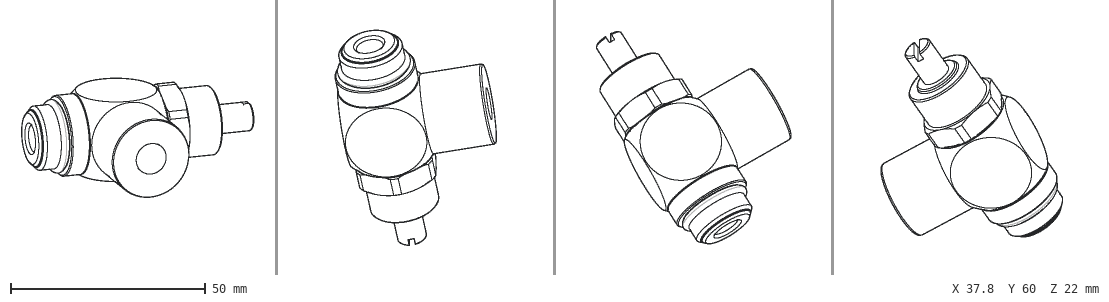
import cadquery as cq
import math

BODY_SIZE = 21.5
BODY_FACE_RADIUS = 10.5

OUTLET_RADIUS = 10.5
OUTLET_END_X = 27.0
OUTLET_EDGE_AXIAL = 0.5
OUTLET_EDGE_RADIAL = 0.2
OUTLET_BORE_RADIUS = 4.1

COLLAR_RADIUS = 10.5
COLLAR_LENGTH = 5.0
COLLAR_CHAMFER = 0.3
RING_NECK_RADIUS = 8.8
RING_NECK_LENGTH = 0.3
RING_MAJOR_RADIUS = 8.5
RING_SECTION_RADIUS = 1.05
RING_GAP = 0.1
SPIGOT_RADIUS = 8.35
SPIGOT_END_Y = -23.5
SPIGOT_CHAMFER = 0.8
SPIGOT_LIP_RADIUS = 7.3
SPIGOT_LIP_LENGTH = 0.95
SPIGOT_LIP_CHAMFER = 0.65
INLET_BORE_RADIUS = 3.5
INLET_CHAMFER_RADIAL = 0.6
INLET_CHAMFER_DEPTH = 0.8

HEX_ACROSS_FLATS = 20.0
HEX_CORNER_RADIUS = 11.0
HEX_START_Y = 10.95
HEX_END_Y = 16.7
HEX_FOOT_RADIUS = 10.5
HEX_TOP_RADIUS = 10.0
HEX_CHAMFER_ANGLE = 30.0

BONNET_RADIUS = 9.0
BONNET_END_Y = 26.05
BONNET_CHAMFER = 0.4
SHOULDER_BASE_RADIUS = 6.25
SHOULDER_TOP_RADIUS = 5.6
SHOULDER_END_Y = 26.95
SHOULDER_CHAMFER = 0.4
STEM_RADIUS = 3.78
STEM_END_Y = 36.5
STEM_CHAMFER = 0.4
SLOT_WIDTH = 1.6
SLOT_DEPTH = 2.0

BODY_HALF = BODY_SIZE / 2
COLLAR_END_Y = -BODY_HALF - COLLAR_LENGTH


def turned_about_y(points):
    """Solid of revolution about Y from (radius, y) points."""
    return cq.Workplane("XY").polyline(points).close().revolve(360, (0, 0, 0), (0, 1, 0))


def turned_about_x(points):
    """Solid of revolution about X from (x, radius) points."""
    return cq.Workplane("XY").polyline(points).close().revolve(360, (0, 0, 0), (1, 0, 0))


def make_body():
    corner_sphere_radius = math.hypot(BODY_HALF, BODY_FACE_RADIUS)
    cube = cq.Workplane("XY").box(BODY_SIZE, BODY_SIZE, BODY_SIZE)
    return cube.intersect(cq.Workplane("XY").sphere(corner_sphere_radius))


def make_outlet():
    return turned_about_x([
        (0, 0),
        (0, OUTLET_RADIUS),
        (OUTLET_END_X - OUTLET_EDGE_AXIAL, OUTLET_RADIUS),
        (OUTLET_END_X, OUTLET_RADIUS - OUTLET_EDGE_RADIAL),
        (OUTLET_END_X, 0),
    ])


def make_inlet():
    neck_end_y = COLLAR_END_Y - RING_NECK_LENGTH
    lip_start_y = SPIGOT_END_Y + SPIGOT_LIP_LENGTH
    return turned_about_y([
        (0, 0),
        (COLLAR_RADIUS - COLLAR_CHAMFER, 0),
        (COLLAR_RADIUS - COLLAR_CHAMFER, -BODY_HALF),
        (COLLAR_RADIUS, -BODY_HALF - COLLAR_CHAMFER),
        (COLLAR_RADIUS, COLLAR_END_Y + COLLAR_CHAMFER),
        (COLLAR_RADIUS - COLLAR_CHAMFER, COLLAR_END_Y),
        (RING_NECK_RADIUS, COLLAR_END_Y),
        (RING_NECK_RADIUS, neck_end_y),
        (SPIGOT_RADIUS, neck_end_y),
        (SPIGOT_RADIUS, lip_start_y + SPIGOT_CHAMFER),
        (SPIGOT_RADIUS - SPIGOT_CHAMFER, lip_start_y),
        (SPIGOT_LIP_RADIUS, lip_start_y),
        (SPIGOT_LIP_RADIUS, SPIGOT_END_Y + SPIGOT_LIP_CHAMFER),
        (SPIGOT_LIP_RADIUS - SPIGOT_LIP_CHAMFER, SPIGOT_END_Y),
        (0, SPIGOT_END_Y),
    ])


def make_o_ring():
    ring_y = COLLAR_END_Y - RING_SECTION_RADIUS - RING_GAP
    section = cq.Workplane("XY").center(RING_MAJOR_RADIUS, ring_y).circle(RING_SECTION_RADIUS)
    return section.revolve(360, (-RING_MAJOR_RADIUS, 0, 0), (-RING_MAJOR_RADIUS, 1, 0))


def make_hexagon():
    slope = math.tan(math.radians(HEX_CHAMFER_ANGLE))
    foot_chamfer = (HEX_CORNER_RADIUS - HEX_FOOT_RADIUS) * slope
    top_chamfer = (HEX_CORNER_RADIUS - HEX_TOP_RADIUS) * slope
    envelope = turned_about_y([
        (0, 0),
        (HEX_TOP_RADIUS, 0),
        (HEX_TOP_RADIUS, HEX_START_Y),
        (HEX_FOOT_RADIUS, HEX_START_Y),
        (HEX_CORNER_RADIUS, HEX_START_Y + foot_chamfer),
        (HEX_CORNER_RADIUS, HEX_END_Y - top_chamfer),
        (HEX_TOP_RADIUS, HEX_END_Y),
        (0, HEX_END_Y),
    ])
    across_corners = HEX_ACROSS_FLATS / math.cos(math.pi / 6)
    prism = (
        cq.Workplane("XZ")
        .transformed(rotate=(0, 0, 90))
        .polygon(6, across_corners)
        .extrude(-HEX_END_Y)
    )
    return envelope.intersect(prism)


def make_bonnet_and_stem():
    return turned_about_y([
        (0, 0),
        (BONNET_RADIUS, 0),
        (BONNET_RADIUS, BONNET_END_Y - BONNET_CHAMFER),
        (BONNET_RADIUS - BONNET_CHAMFER, BONNET_END_Y),
        (SHOULDER_BASE_RADIUS, BONNET_END_Y),
        (SHOULDER_TOP_RADIUS + SHOULDER_CHAMFER, SHOULDER_END_Y - SHOULDER_CHAMFER),
        (SHOULDER_TOP_RADIUS, SHOULDER_END_Y),
        (STEM_RADIUS, SHOULDER_END_Y),
        (STEM_RADIUS, STEM_END_Y - STEM_CHAMFER),
        (STEM_RADIUS - STEM_CHAMFER, STEM_END_Y),
        (0, STEM_END_Y),
    ])


def make_stem_slot():
    slot = cq.Workplane("XY").box(SLOT_WIDTH, 2 * SLOT_DEPTH, 2 * STEM_RADIUS)
    return slot.translate((0, STEM_END_Y, 0))


def make_inlet_bore():
    return turned_about_y([
        (0, 0),
        (INLET_BORE_RADIUS, 0),
        (INLET_BORE_RADIUS, SPIGOT_END_Y + INLET_CHAMFER_DEPTH),
        (INLET_BORE_RADIUS + INLET_CHAMFER_RADIAL, SPIGOT_END_Y),
        (0, SPIGOT_END_Y),
    ])


def make_outlet_bore():
    """Blind bore along X that ends in a hemisphere at the part origin."""
    bore = cq.Workplane("YZ").circle(OUTLET_BORE_RADIUS).extrude(OUTLET_END_X)
    return bore.union(cq.Workplane("XY").sphere(OUTLET_BORE_RADIUS))


result = (
    make_body()
    .union(make_outlet())
    .union(make_inlet())
    .union(make_o_ring())
    .union(make_hexagon())
    .union(make_bonnet_and_stem())
    .cut(make_stem_slot())
    .cut(make_inlet_bore())
    .cut(make_outlet_bore())
)